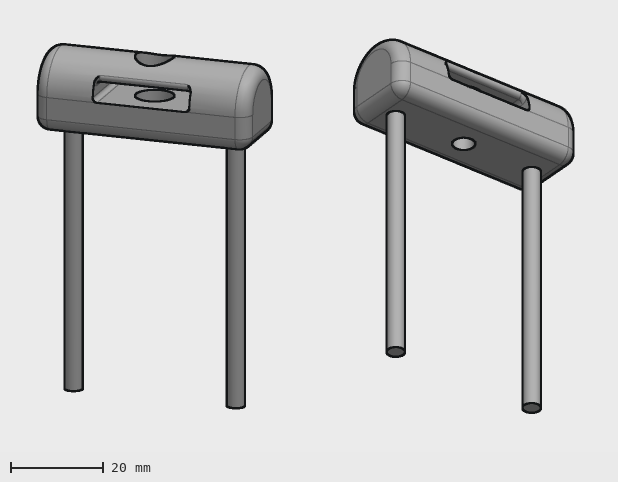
import cadquery as cq
import math

body_length = 49.0
body_width = 18.0
top_radius = body_width / 2
side_height = 8.0
edge_radius = 3.0

total_height = 77.0
leg_diameter = 4.0
leg_spacing = 37.0
leg_length = total_height - side_height - top_radius

slot_length = 22.0
slot_height = 4.0
slot_radius = 1.0

cutter_overrun = 1.55

hole_diameter = 5.0
counterbore_diameter = 8.5
counterbore_depth = 3.0

pick_margin = 0.1


def make_body():
    """Round-topped block standing on Z = 0, all outer edges rounded."""
    profile = (
        cq.Workplane("YZ")
        .moveTo(-top_radius, side_height)
        .lineTo(-top_radius, 0)
        .lineTo(top_radius, 0)
        .lineTo(top_radius, side_height)
        .threePointArc((0, side_height + top_radius), (-top_radius, side_height))
        .close()
    )
    block = profile.extrude(body_length / 2, both=True)
    return block.faces("<X or >X or <Z").edges().fillet(edge_radius)


def make_slot_half():
    """Half of the slot (Y > 0): rounded corners and a ceiling lip that flares into the round top."""
    lip_center_rise = slot_height + slot_radius
    lip_center_reach = top_radius - slot_radius
    lip_angle = math.asin(lip_center_rise / lip_center_reach)
    lip_y = lip_center_reach * math.cos(lip_angle)

    def lip_point(angle):
        return (
            lip_y + slot_radius * math.cos(angle),
            lip_center_rise + slot_radius * math.sin(angle),
        )

    tangent_y, tangent_z = lip_point(lip_angle)
    clear_y = tangent_y - cutter_overrun * math.sin(lip_angle)
    clear_z = tangent_z + cutter_overrun * math.cos(lip_angle)

    half = (
        cq.Workplane("YZ")
        .workplane(origin=(0, 0, side_height))
        .moveTo(0, 0)
        .lineTo(0, slot_height)
        .lineTo(lip_y, slot_height)
        .threePointArc(lip_point((lip_angle - math.pi / 2) / 2), (tangent_y, tangent_z))
        .lineTo(clear_y, clear_z)
        .lineTo(body_width, clear_z)
        .lineTo(body_width, 0)
        .close()
        .extrude(slot_length / 2, both=True)
    )
    half = half.edges("|Y and <Z").fillet(slot_radius)

    ceiling_corners = cq.selectors.BoxSelector(
        (-slot_length, 0, side_height + slot_height - pick_margin),
        (slot_length, lip_y, side_height + slot_height + pick_margin),
    )
    return half.edges("|Y").edges(ceiling_corners).fillet(slot_radius)


def cut_slot(body):
    """Cut both mirrored halves of the slot."""
    half = make_slot_half()
    return body.cut(half).cut(half.mirror("XZ"))


def cut_screw_hole(body):
    """Drill right through, with a wide counterbore reaching below the slot floor."""
    counterbore_floor = side_height - counterbore_depth
    body_height = side_height + top_radius
    hole = cq.Workplane("XY").circle(hole_diameter / 2).extrude(body_height)
    counterbore = (
        cq.Workplane("XY")
        .workplane(offset=counterbore_floor)
        .circle(counterbore_diameter / 2)
        .extrude(body_height - counterbore_floor)
    )
    return body.cut(hole).cut(counterbore)


def make_legs():
    """Two round legs hanging from the flat underside."""
    return (
        cq.Workplane("XY")
        .pushPoints([(-leg_spacing / 2, 0), (leg_spacing / 2, 0)])
        .circle(leg_diameter / 2)
        .extrude(-leg_length)
    )


result = cut_screw_hole(cut_slot(make_body())).union(make_legs())